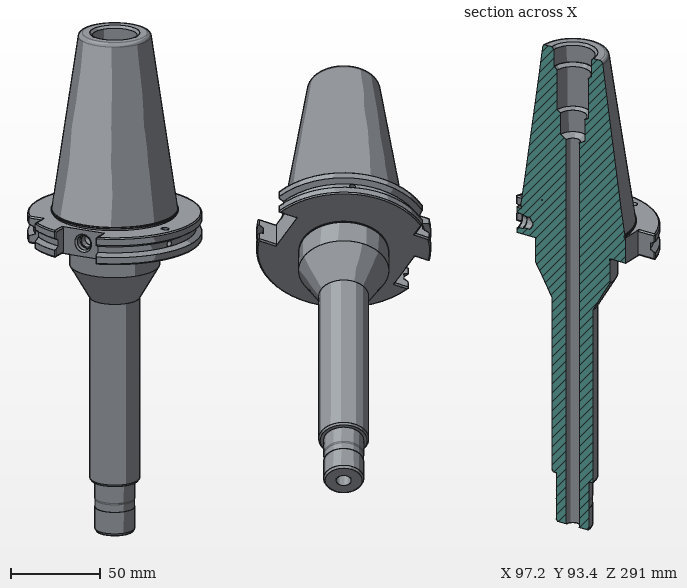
import cadquery as cq
import math


taper_length = 101.5
gauge_dia = 70.0
taper_rate = 7 / 24
taper_top_dia = gauge_dia - taper_rate * taper_length
taper_top_round = 2.3

collar_dia = 71.0
collar_top = -1.2
collar_bottom = -2.0
collar_relief_dia = 69.5

flange_dia = 97.2
flange_top = -3.2
flange_bottom = -19.0
flange_edge_chamfer = 0.73
groove_z = (flange_top + flange_bottom) / 2
groove_floor_dia = 90.8
groove_mouth = 7.0
groove_floor_width = 3.5

slot_width = 25.0
front_slot_floor = 37.5
rear_slot_floor = 35.5
cutout_edge_chamfer = 1.0
notch_offset = 30.0

slot_hole_mouth_dia = 10.5
slot_hole_thread_dia = 8.5
slot_hole_dia = 7.0
slot_hole_thread_depth = 4.5
slot_hole_depth = 8.7

channel_angles = (-20, 160)
channel_dia = 3.8
channel_pitch_radius = 42.0
channel_tilt = 35
screw_hole_dia = 3.2
screw_hole_depth = 9.3

overall_length = 291
bottom = taper_length - overall_length
neck_dia = 50.5
neck_relief_dia = 49.8
neck_relief_bottom = -19.8
neck_bottom = -33.8
cone_bottom = -53.0
shaft_dia = 28.0
shaft_bottom = -159.8
shaft_chamfer = 1.0
shaft_chamfer_height = 1.2
nose_dia = 22.5
relief_dia = 22.0
relief_top = -170.3
relief_bottom = -175.5
relief_runout = 1.0
nose_chamfer = 1.0
nose_chamfer_height = 1.5

mouth_dia = 28.0
counterbore_dia = 25.0
counterbore_depth = 11.5
seat_dia = 24.5
thread_dia = 20.7
thread_depth = 37.8
pilot_dia = 16.0
pilot_depth = 52.5
through_dia = 8.5
drill_half_angle = 59
bevel_angle = 45


def cone_height(large_dia, small_dia, half_angle):
    """Axial length of a cone running between two diameters."""
    return (large_dia - small_dia) / 2 / math.tan(math.radians(half_angle))


def revolve(points):
    """Solid of revolution about Z from (diameter, z) points, closed along the axis."""
    outline = [(0, points[0][1])]
    outline += [(dia / 2, z) for dia, z in points]
    ends_on_axis = points[-1][0] == 0
    if not ends_on_axis:
        outline.append((0, points[-1][1]))
    return cq.Workplane("XZ").polyline(outline).close().revolve(360, (0, 0), (0, 1))


def make_taper():
    taper_end_dia = gauge_dia - taper_rate * collar_top
    taper = revolve([(taper_top_dia, taper_length), (taper_end_dia, collar_top)])
    taper = taper.faces(">Z").edges().fillet(taper_top_round)
    collar = revolve([
        (collar_dia, collar_top),
        (collar_dia, collar_bottom),
        (collar_relief_dia, collar_bottom),
        (collar_relief_dia, flange_top),
    ])
    return taper.union(collar)


def make_flange():
    height = flange_top - flange_bottom
    margin = 3
    zone_bottom = flange_bottom - margin
    zone_top = flange_top + margin
    disc = cq.Workplane("XY").workplane(offset=flange_bottom).circle(flange_dia / 2).extrude(height)
    cutter = cq.Workplane("XY", origin=(0, 0, groove_z))

    for side, floor in ((-1, front_slot_floor), (1, rear_slot_floor)):
        slot = cutter.box(slot_width, flange_dia, 2 * height)
        disc = disc.cut(slot.translate((0, side * (floor + flange_dia / 2), 0)))
        wall_zone = cq.selectors.BoxSelector(
            (-slot_width, side * (floor + margin), zone_bottom),
            (slot_width, side * flange_dia, zone_top),
        )
        disc = disc.edges("|Y or |Z").edges(wall_zone).chamfer(cutout_edge_chamfer)

    notch_shift = -notch_offset - flange_dia / 2
    notch = cutter.box(flange_dia, flange_dia, 2 * height)
    disc = disc.cut(notch.translate((notch_shift, notch_shift, 0)))
    notch_zone = cq.selectors.BoxSelector(
        (-flange_dia, -flange_dia, zone_bottom),
        (margin - notch_offset, margin - notch_offset, zone_top),
    )
    disc = disc.edges("|X or |Y").edges(notch_zone).chamfer(cutout_edge_chamfer)
    return disc.intersect(make_rim_profile())


def make_rim_profile():
    edge_dia = flange_dia - 2 * flange_edge_chamfer
    return revolve([
        (edge_dia, flange_top),
        (flange_dia, flange_top - flange_edge_chamfer),
        (flange_dia, groove_z + groove_mouth / 2),
        (groove_floor_dia, groove_z + groove_floor_width / 2),
        (groove_floor_dia, groove_z - groove_floor_width / 2),
        (flange_dia, groove_z - groove_mouth / 2),
        (flange_dia, flange_bottom + flange_edge_chamfer),
        (edge_dia, flange_bottom),
    ])


def make_lower_body():
    return revolve([
        (neck_relief_dia, flange_bottom),
        (neck_relief_dia, neck_relief_bottom),
        (neck_dia, neck_relief_bottom),
        (neck_dia, neck_bottom),
        (shaft_dia, cone_bottom),
        (shaft_dia, shaft_bottom + shaft_chamfer_height),
        (shaft_dia - 2 * shaft_chamfer, shaft_bottom),
        (nose_dia, shaft_bottom),
        (nose_dia, relief_top),
        (relief_dia, relief_top - relief_runout),
        (relief_dia, relief_bottom),
        (nose_dia, relief_bottom),
        (nose_dia, bottom + nose_chamfer_height),
        (nose_dia - 2 * nose_chamfer, bottom),
    ])


def make_bore():
    counterbore_z = taper_length - counterbore_depth
    thread_z = taper_length - thread_depth
    pilot_z = taper_length - pilot_depth
    return revolve([
        (mouth_dia, taper_length),
        (counterbore_dia, taper_length - cone_height(mouth_dia, counterbore_dia, bevel_angle)),
        (counterbore_dia, counterbore_z),
        (seat_dia, counterbore_z),
        (thread_dia, counterbore_z - cone_height(seat_dia, thread_dia, bevel_angle)),
        (thread_dia, thread_z),
        (pilot_dia, thread_z - cone_height(thread_dia, pilot_dia, drill_half_angle)),
        (pilot_dia, pilot_z),
        (through_dia, pilot_z - cone_height(pilot_dia, through_dia, drill_half_angle)),
        (through_dia, bottom),
    ])


def make_slot_hole():
    hole = revolve([
        (slot_hole_mouth_dia, 0),
        (slot_hole_thread_dia, -cone_height(slot_hole_mouth_dia, slot_hole_thread_dia, bevel_angle)),
        (slot_hole_thread_dia, -slot_hole_thread_depth),
        (slot_hole_dia, -slot_hole_thread_depth),
        (slot_hole_dia, -slot_hole_depth),
        (0, -slot_hole_depth - cone_height(slot_hole_dia, 0, drill_half_angle)),
    ])
    return hole.rotate((0, 0, 0), (1, 0, 0), 90).translate((0, -front_slot_floor, groove_z))


def make_coolant_channel(angle):
    """Leaning channel from the flange face, met by a radial screw hole from the groove floor."""
    lean = math.radians(channel_tilt)
    down = cq.Vector(-math.sin(lean), 0, -math.cos(lean))
    mouth = cq.Vector(channel_pitch_radius, 0, flange_top)
    reach = (flange_top - groove_z) / math.cos(lean)
    overrun = channel_dia
    channel = cq.Solid.makeCylinder(channel_dia / 2, reach + overrun, mouth - down * overrun, down)
    screw_hole = cq.Solid.makeCylinder(
        screw_hole_dia / 2,
        screw_hole_depth + (flange_dia - groove_floor_dia) / 2,
        cq.Vector(flange_dia / 2, 0, groove_z),
        cq.Vector(-1, 0, 0),
    )
    cutter = cq.Workplane(channel).union(cq.Workplane(screw_hole))
    return cutter.rotate((0, 0, 0), (0, 0, 1), angle)


result = make_flange().union(make_taper()).union(make_lower_body())
result = result.cut(make_bore()).cut(make_slot_hole())
for channel_angle in channel_angles:
    result = result.cut(make_coolant_channel(channel_angle))